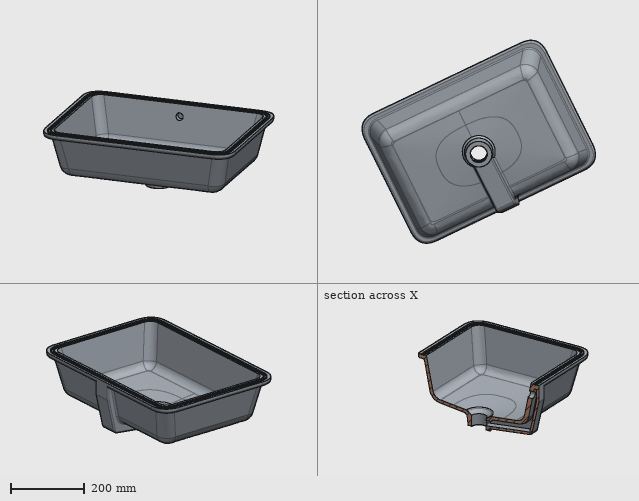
import cadquery as cq
import math


rim_length = 551.97
rim_width = 393.02
rim_corner_reach = 53.5
rim_corner_fullness = 0.66
rim_thickness = 13.7
rim_edge_radius = 5.7
rim_underside_radius = 4.0

groove_insets = (9.5, 17.0)
groove_width = 2.8
groove_depth = 1.5

overall_height = 176.53
bowl_top_inset = 15.7
bowl_depth = 132.5
bowl_draft = 11.5
bowl_corner_radius = 36.0
bowl_bottom_radius = 35.5
bowl_back_growth = 3.5

basin_top_inset = 27.0
basin_depth = 122.0
basin_draft = 12.0
basin_corner_radius = 26.0
basin_bottom_radius = 25.0

floor_fall = 9.0
floor_margin = 0.5
floor_overlap = 2.0
floor_oval_length = 235.0
floor_oval_width = 163.0
floor_oval_exponent = 2.6
floor_edge_exponent = 30.0
circle_exponent = 2.0
curve_steps = 100

drain_bore_diameter = 46.0
drain_seat_diameter = 71.0
drain_lip_diameter = 79.0
drain_lip_drop = 2.0
drain_seat_depth = 12.2
drain_flare_diameter = 90.0
drain_neck_diameter = 78.0
drain_neck_drop = 6.0
drain_end_diameter = 71.4

channel_half_width = 28.0
channel_edge_radius = 4.0
channel_root_radius = 5.0
channel_wall = 9.0
channel_straight_depth = 49.5
channel_heel_inset = 23.8
channel_heel_depth = 154.5
channel_heel_radius = 13.0
channel_end_depth = 174.3
overflow_diameter = 20.0
overflow_depth = 34.0

match_tolerance = 0.1

floor_underside_depth = bowl_depth + floor_fall
floor_drain_depth = basin_depth + floor_fall
drain_neck_depth = floor_underside_depth + drain_neck_drop
back_y = rim_width / 2


def rounded_rectangle(inset, corner_radius, back_growth, depth):
    """Rounded rectangle `inset` inside the rim's outline, its back edge moved out by `back_growth`."""
    sketch = cq.Sketch().rect(rim_length - 2 * inset, rim_width - 2 * inset + back_growth)
    sketch = sketch.vertices().fillet(corner_radius)
    return sketch.moved(cq.Location(cq.Vector(0, back_growth / 2, -depth)))


def drafted_tub(top_inset, depth, draft, corner_radius, bottom_radius, back_growth=0):
    """Tub with sloping walls, equal corner radii from top to bottom and a rounded bottom edge."""
    bottom_inset = top_inset + depth * math.tan(math.radians(draft))
    top = rounded_rectangle(top_inset, corner_radius, back_growth, 0)
    bottom = rounded_rectangle(bottom_inset, corner_radius, back_growth, depth)
    tub = cq.Workplane("XY").placeSketch(top, bottom).loft(ruled=True)
    return tub.faces("<Z").edges().fillet(bottom_radius)


def floor_inset(top_inset, depth, draft, bottom_radius):
    """Inset of the funnel's edge, just inside a tub's bottom rounding."""
    bottom_inset = top_inset + depth * math.tan(math.radians(draft))
    return bottom_inset + bottom_radius * math.tan(math.radians(90 - draft) / 2) + floor_margin


def floor_section(half_length, half_width, exponent, depth):
    """Horizontal superellipse made of two halves that meet on the plane X = 0."""

    def point_at(angle):
        spread = abs(math.cos(angle) / half_length) ** exponent
        spread += abs(math.sin(angle) / half_width) ** exponent
        radius = spread ** (-1 / exponent)
        return cq.Vector(radius * math.cos(angle), radius * math.sin(angle), -depth)

    halves = []
    for start_angle in (-math.pi / 2, math.pi / 2):
        angles = [start_angle + math.pi * step / curve_steps for step in range(curve_steps + 1)]
        halves.append(cq.Edge.makeSpline([point_at(angle) for angle in angles]))
    return cq.Wire.assembleEdges(halves)


def sloping_floor(inset, depth, drain_diameter):
    """Shallow funnel from the bottom of a tub, through an oval, down to the drain."""
    half_length = rim_length / 2 - inset
    half_width = rim_width / 2 - inset
    drain_radius = drain_diameter / 2
    oval_half_length = floor_oval_length / 2
    oval_half_width = floor_oval_width / 2
    oval_share = (half_length - oval_half_length) / (half_length - drain_radius)
    oval_depth = depth + floor_fall * oval_share
    sections = (
        floor_section(half_length, half_width, floor_edge_exponent, depth - floor_overlap),
        floor_section(half_length, half_width, floor_edge_exponent, depth),
        floor_section(oval_half_length, oval_half_width, floor_oval_exponent, oval_depth),
        floor_section(drain_radius, drain_radius, circle_exponent, depth + floor_fall),
    )
    return cq.Workplane("XY").newObject([cq.Solid.makeLoft(sections, True)])


def rim_slab(inset, thickness):
    """Plate below Z = 0 with the rim's outline, `inset` inside it, and softly curved corners."""
    x = rim_length / 2 - inset
    y = rim_width / 2 - inset
    reach = rim_corner_reach - inset
    pull = reach * (1 - rim_corner_fullness)
    outline = cq.Workplane("XY").moveTo(0, -y)
    for side_x, side_y in ((1, -1), (1, 1), (-1, 1), (-1, -1)):
        curve = [
            (side_x * (x - reach), side_y * y),
            (side_x * (x - pull), side_y * y),
            (side_x * x, side_y * (y - pull)),
            (side_x * x, side_y * (y - reach)),
        ]
        if side_x == side_y:
            curve.reverse()
        outline = outline.lineTo(*curve[0]).bezier(curve)
    return outline.close().extrude(-thickness)


def make_rim():
    """Rim with a rounded lower outer edge."""
    return rim_slab(0, rim_thickness).faces("<Z").edges().fillet(rim_edge_radius)


def make_bowl():
    """Outside of the bowl as a solid block."""
    tub = drafted_tub(
        bowl_top_inset,
        bowl_depth,
        bowl_draft,
        bowl_corner_radius,
        bowl_bottom_radius,
        bowl_back_growth,
    )
    inset = floor_inset(bowl_top_inset, bowl_depth, bowl_draft, bowl_bottom_radius)
    return tub.union(sloping_floor(inset, bowl_depth, drain_flare_diameter))


def basin_floor_inset():
    """Inset of the edge of the basin's sloping floor."""
    return floor_inset(basin_top_inset, basin_depth, basin_draft, basin_bottom_radius)


def make_basin():
    """Hollow of the bowl as a solid block."""
    tub = drafted_tub(basin_top_inset, basin_depth, basin_draft, basin_corner_radius, basin_bottom_radius)
    return tub.union(sloping_floor(basin_floor_inset(), basin_depth, drain_lip_diameter))


def revolved(outline):
    """Solid of revolution about the Z axis from (radius, z) points."""
    return cq.Workplane("XZ").polyline(outline).close().revolve(360, (0, 0), (0, 1))


def make_drain_flare():
    """Conical collar that joins the floor to the drain spigot."""
    outline = (
        (0, -floor_drain_depth),
        (drain_flare_diameter / 2, -floor_drain_depth),
        (drain_flare_diameter / 2, -floor_underside_depth),
        (drain_neck_diameter / 2, -drain_neck_depth),
        (0, -drain_neck_depth),
    )
    return revolved(outline)


def make_drain_spigot():
    """Tapering pipe below the flare."""
    outline = (
        (0, -drain_neck_depth),
        (drain_neck_diameter / 2, -drain_neck_depth),
        (drain_end_diameter / 2, -overall_height),
        (0, -overall_height),
    )
    return revolved(outline)


def make_drain_opening():
    """Sloping lip, conical seat and straight bore through the spigot."""
    outline = (
        (0, -basin_depth),
        (drain_lip_diameter / 2, -basin_depth),
        (drain_lip_diameter / 2, -floor_drain_depth),
        (drain_seat_diameter / 2, -floor_drain_depth - drain_lip_drop),
        (drain_bore_diameter / 2, -floor_drain_depth - drain_seat_depth),
        (drain_bore_diameter / 2, -overall_height),
        (0, -overall_height),
    )
    return revolved(outline)


def channel_blank(wall):
    """Channel seen along X, shrunk by `wall` on every side; its inner edges lie inside the bowl."""
    outline = (
        (back_y, -rim_edge_radius),
        (back_y, -channel_straight_depth),
        (back_y - channel_heel_inset, -channel_heel_depth),
        (0, -channel_end_depth),
        (0, -basin_depth),
        (back_y - basin_floor_inset(), -basin_depth),
        (back_y - basin_top_inset, -rim_edge_radius),
    )
    profile = cq.Workplane("YZ").polyline(outline).close()
    if wall > 0:
        profile = profile.offset2D(-wall, "intersection")
    return profile.extrude(channel_half_width - wall, both=True)


def make_channel():
    """Overflow channel that runs down behind the back wall and under the floor to the drain."""
    heel_point = (0, back_y - channel_heel_inset, -channel_heel_depth)
    heel = cq.selectors.NearestToPointSelector(heel_point)
    channel = channel_blank(0).edges("|X").edges(heel).fillet(channel_heel_radius)
    return channel.faces("<X or >X").edges().fillet(channel_edge_radius)


def make_overflow_inlet():
    """Round hole through the back wall into the channel."""
    inner_y = back_y - basin_floor_inset()
    plane = cq.Workplane("XZ", origin=(0, inner_y, -overflow_depth))
    return plane.circle(overflow_diameter / 2).extrude(-(back_y - channel_wall - inner_y))


def make_groove(inset):
    """Groove that runs around the rim's top face."""
    return rim_slab(inset, groove_depth).cut(rim_slab(inset + groove_width, groove_depth))


def underside_edges(body):
    """Edges where the bowl meets the flat underside of the rim."""
    half_length = rim_length / 2 - 2 * rim_edge_radius
    half_width = rim_width / 2 - 2 * rim_edge_radius
    low = (-half_length, -half_width, -rim_thickness - match_tolerance)
    high = (half_length, half_width, -rim_thickness + match_tolerance)
    return body.edges(cq.selectors.BoxSelector(low, high))


def root_edges(body, bowl):
    """Edges where the channel's two sides meet the outside of the bowl."""

    def is_root(edge):
        middle = edge.positionAt(0.5)
        on_side = abs(abs(middle.x) - channel_half_width) < match_tolerance
        gap = cq.Vertex.makeVertex(*middle.toTuple()).distance(bowl.val())
        return on_side and gap < match_tolerance

    return body.edges().filter(is_root)


bowl = make_bowl()
flare = make_drain_flare()
channel_cavity = channel_blank(channel_wall).cut(bowl).cut(flare)

rimmed_bowl = make_rim().union(bowl)
rimmed_bowl = underside_edges(rimmed_bowl).fillet(rim_underside_radius)

plumbed_bowl = bowl.union(flare).union(make_drain_spigot()).union(make_channel())
plumbed_bowl = root_edges(plumbed_bowl, bowl).fillet(channel_root_radius)

body = rimmed_bowl.union(plumbed_bowl)
body = body.cut(make_basin()).cut(make_drain_opening())
body = body.cut(channel_cavity).cut(make_overflow_inlet())
for groove_inset in groove_insets:
    body = body.cut(make_groove(groove_inset))

result = body